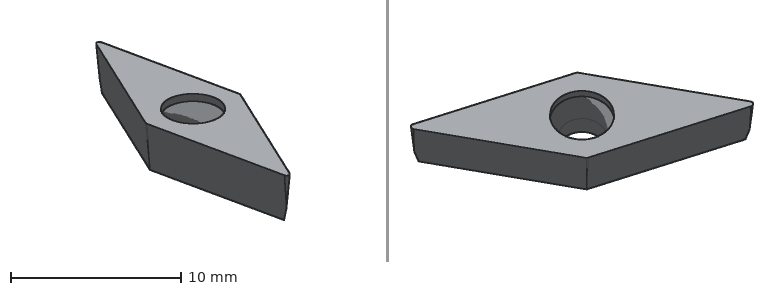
import cadquery as cq
import math

inscribed_diameter = 6.35
thickness = 3.18
sharp_angle_deg = 35
relief_angle_deg = 5
corner_radius = 0.2

mouth_diameter = 3.77
bore_diameter = 2.85
mouth_depth = 0.5
seat_radius = 2.5

blunt_angle_deg = 180 - sharp_angle_deg
sharp_angle = math.radians(sharp_angle_deg)
side = inscribed_diameter / math.sin(sharp_angle)
half_height = inscribed_diameter / 2
tip_x = side * (1 + math.cos(sharp_angle)) / 2
blunt_x = side * (1 - math.cos(sharp_angle)) / 2

cone_depth = corner_radius / math.tan(math.radians(relief_angle_deg))


def rhombus_body():
    """Sharp-cornered rhombus narrowing downward from the top face."""
    outline = [
        (-tip_x, -half_height),
        (blunt_x, -half_height),
        (tip_x, half_height),
        (-blunt_x, half_height),
    ]
    return (
        cq.Workplane("XY", origin=(0, 0, thickness))
        .polyline(outline)
        .close()
        .extrude(-thickness, taper=relief_angle_deg)
    )


def corner_trim(corner_angle_deg, corner_x, direction_deg):
    """Material outside the rounding cone of a corner at (corner_x, half_height).

    direction_deg is the heading from the cone axis to the corner.
    """
    half_angle = math.radians(corner_angle_deg / 2)
    direction = math.radians(direction_deg)
    corner_distance = corner_radius / math.sin(half_angle)
    axis_x = corner_x - corner_distance * math.cos(direction)
    axis_y = half_height - corner_distance * math.sin(direction)
    sweep_deg = 180 - corner_angle_deg
    outer_radius = corner_distance + corner_radius
    return (
        cq.Workplane("XZ")
        .polyline(
            [
                (0, thickness - cone_depth),
                (corner_radius, thickness),
                (outer_radius, thickness),
                (outer_radius, thickness - cone_depth),
            ]
        )
        .close()
        .revolve(sweep_deg, (0, 0, 0), (0, 1, 0))
        .rotate((0, 0, 0), (0, 0, 1), direction_deg - sweep_deg / 2)
        .translate((axis_x, axis_y, 0))
    )


def screw_hole():
    """Revolved hole whose arc seat blends tangentially into the bore."""
    mouth_radius = mouth_diameter / 2
    bore_radius = bore_diameter / 2
    arc_center_x = bore_radius + seat_radius

    def seat_drop(radius):
        return math.sqrt(seat_radius**2 - (arc_center_x - radius) ** 2)

    middle_radius = (mouth_radius + bore_radius) / 2
    seat_top = thickness - mouth_depth
    seat_bottom = seat_top - seat_drop(mouth_radius)
    return (
        cq.Workplane("XZ")
        .moveTo(0, 0)
        .lineTo(bore_radius, 0)
        .lineTo(bore_radius, seat_bottom)
        .threePointArc((middle_radius, seat_bottom + seat_drop(middle_radius)), (mouth_radius, seat_top))
        .lineTo(mouth_radius, thickness)
        .lineTo(0, thickness)
        .close()
        .revolve(360, (0, 0, 0), (0, 1, 0))
    )


result = rhombus_body()
sharp_trim = corner_trim(sharp_angle_deg, tip_x, sharp_angle_deg / 2)
blunt_trim = corner_trim(blunt_angle_deg, -blunt_x, sharp_angle_deg + blunt_angle_deg / 2)
for trim in (sharp_trim, blunt_trim):
    for turn_deg in (0, 180):
        result = result.cut(trim.rotate((0, 0, 0), (0, 0, 1), turn_deg))
result = result.cut(screw_hole())